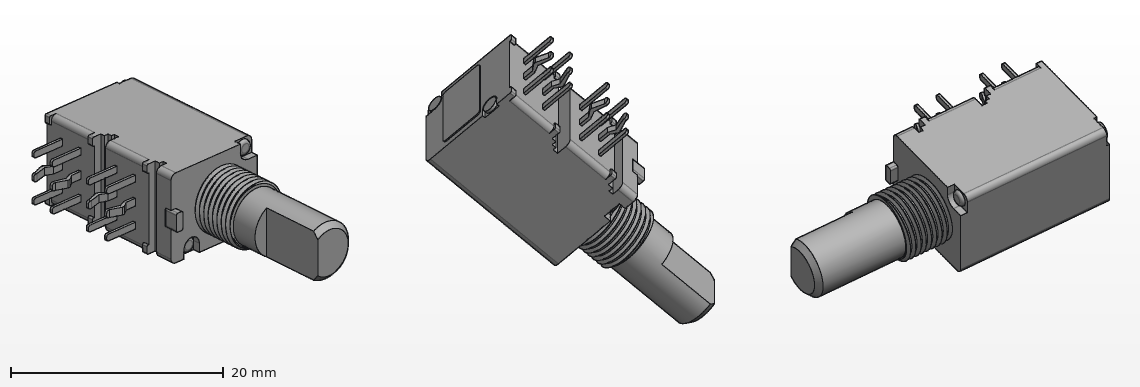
import cadquery as cq
import math

BODY_LENGTH = 16.98
BODY_BACK = 4.85
BODY_FRONT = -6.32
HEIGHT = 9.6
CORNER_RADIUS = 0.6

LABEL_WIDTH = 4.88
LABEL_HEIGHT = 8.05
LABEL_THICKNESS = 0.13
LABEL_CORNER_RADIUS = 0.4

SECTION_PITCH = 7.45
SECTION_END = 6.5
FOOT_LENGTH = 0.6
FOOT_WIDTH = 1.0
FOOT_RISE = 0.22
FOOT_EDGE_RADIUS = 0.15
STEP_LENGTHS = (0.48, 0.48, 0.58)
STEP_DEPTHS = (0.85, 1.32, 1.67)
GAP_LENGTHS = (0.58, 0.48)
GAP_DEPTHS = (0.85, 1.32)

RIVET_Y = 3.65
RIVET_Z = 3.82
RIVET_RADIUS = 0.85
REAR_RECESS_RADIUS = 0.93
REAR_RECESS_DEPTH = 0.32
END_RECESS_DEPTH = 0.77
END_RECESS_RADIUS = 1.0
END_RIVET_LENGTH = 0.4
END_RIVET_EDGE_RADIUS = 0.35

TAB_START = 16.27
TAB_LENGTH = 1.55
TAB_WIDTH = 2.02
TAB_THICKNESS = 0.85
TAB_PROUD = 0.1
TAB_EDGE_RADIUS = 0.2

PIN_X = 2.0
PIN_PITCH_X = 2.5
PIN_PITCH_Z = 2.5
PIN_TIP = -10.0
PIN_THICKNESS = 0.3
PIN_WIDTH = 0.75
LOCK_PIN_WIDTH = 0.85
PIN_TIP_RADIUS = 0.25
PIN_EMBED = 0.32
KINK_OFFSET = 0.48
KINK_THICKNESS = 0.42
KINK_START = -7.5
KINK_TOP_START = -8.2
KINK_TOP_END = -8.4
KINK_END = -9.63

BUSHING_LENGTH = 5.0
THREAD_ROOT_RADIUS = 3.15
THREAD_RADIUS = 3.5
THREAD_TURNS = 8.4
THREAD_PITCH = BUSHING_LENGTH / THREAD_TURNS
THREAD_BASE_WIDTH = 0.5
THREAD_EMBED = 0.05

SHAFT_RADIUS = 3.02
SHAFT_LENGTH = 9.98
SHAFT_CHAMFER = 0.58
FLAT_LENGTH = 7.0
FLAT_OFFSET = 1.5

BUSHING_END = BODY_LENGTH + BUSHING_LENGTH
SHAFT_END = BUSHING_END + SHAFT_LENGTH
SECTION_ENDS = (SECTION_END, SECTION_END + SECTION_PITCH)


def block(x_range, y_range, z_range):
    """Box spanning the given (low, high) ranges."""
    sizes = [high - low for low, high in (x_range, y_range, z_range)]
    corner = (x_range[0], y_range[0], z_range[0])
    return cq.Workplane("XY").box(*sizes, centered=False).translate(corner)


def rod(x_start, x_end, radius, y=0, z=0):
    """Cylinder parallel to the X axis."""
    return cq.Workplane("YZ", origin=(x_start, y, z)).circle(radius).extrude(x_end - x_start)


def foot(x_start, side):
    """Square corner with a raised lip on the pin face; side is +1 at the top, -1 at the bottom."""
    outer = side * HEIGHT / 2
    inner = outer - side * FOOT_WIDTH
    z_range = (min(inner, outer), max(inner, outer))
    y_range = (BODY_FRONT - FOOT_RISE, BODY_FRONT + CORNER_RADIUS)
    lip = block((x_start, x_start + FOOT_LENGTH), y_range, z_range)
    return lip.edges("|X and <Y").fillet(FOOT_EDGE_RADIUS)


def stepped_slot(x_start, lengths, depths):
    """Staircase slot through the full height of the pin face."""
    slot = cq.Workplane("XY")
    for length, depth in zip(lengths, depths):
        y_range = (BODY_FRONT - FOOT_RISE, BODY_FRONT + depth)
        slot = slot.union(block((x_start, x_start + length), y_range, (-HEIGHT / 2, HEIGHT / 2)))
        x_start += length
    return slot


def corner_recess(x_start, depth, radius):
    """Round-bottomed recess open to the back and the top of the body."""
    y_low = RIVET_Y - radius
    z_low = RIVET_Z - radius
    x_range = (x_start, x_start + depth)
    back_part = block(x_range, (RIVET_Y, BODY_BACK), (z_low, HEIGHT / 2))
    top_part = block(x_range, (y_low, BODY_BACK), (RIVET_Z, HEIGHT / 2))
    return rod(*x_range, radius, RIVET_Y, RIVET_Z).union(back_part).union(top_part)


def bottom_recess(x_start, depth, radius):
    """Round-topped recess open to the bottom of the body."""
    x_range = (x_start, x_start + depth)
    y_range = (-RIVET_Y - radius, -RIVET_Y + radius)
    slot = block(x_range, y_range, (-HEIGHT / 2, -RIVET_Z))
    return rod(*x_range, radius, -RIVET_Y, -RIVET_Z).union(slot)


def make_body():
    body = block((0, BODY_LENGTH), (BODY_FRONT, BODY_BACK), (-HEIGHT / 2, HEIGHT / 2))
    body = body.edges("|X").fillet(CORNER_RADIUS)

    for x_start in (0, *(end - FOOT_LENGTH for end in SECTION_ENDS)):
        for side in (-1, 1):
            body = body.union(foot(x_start, side))
    body = body.cut(stepped_slot(SECTION_ENDS[0], STEP_LENGTHS, STEP_DEPTHS))
    body = body.cut(stepped_slot(SECTION_ENDS[1], GAP_LENGTHS, GAP_DEPTHS))

    end_floor = BODY_LENGTH - END_RECESS_DEPTH
    for x_start, depth, radius in (
        (0, REAR_RECESS_DEPTH, REAR_RECESS_RADIUS),
        (end_floor, END_RECESS_DEPTH, END_RECESS_RADIUS),
    ):
        body = body.cut(corner_recess(x_start, depth, radius))
        body = body.cut(bottom_recess(x_start, depth, radius))
    for y, z in ((RIVET_Y, RIVET_Z), (-RIVET_Y, -RIVET_Z)):
        end_rivet = rod(end_floor, end_floor + END_RIVET_LENGTH, RIVET_RADIUS, y, z)
        body = body.union(rod(0, REAR_RECESS_DEPTH, RIVET_RADIUS, y, z))
        body = body.union(end_rivet.faces(">X").edges().fillet(END_RIVET_EDGE_RADIUS))

    label = cq.Workplane("YZ").rect(LABEL_WIDTH, LABEL_HEIGHT).extrude(-LABEL_THICKNESS)
    return body.union(label.edges("|X").fillet(LABEL_CORNER_RADIUS))


def make_tab():
    """Locating tab that projects past the bushing end of the body."""
    y_low = BODY_FRONT - TAB_PROUD
    tab = block(
        (TAB_START, TAB_START + TAB_LENGTH),
        (y_low, y_low + TAB_THICKNESS),
        (-TAB_WIDTH / 2, TAB_WIDTH / 2),
    )
    return tab.edges("|X").fillet(TAB_EDGE_RADIUS)


def straight_pin(x, z):
    y_range = (PIN_TIP, BODY_FRONT + PIN_EMBED)
    half_thickness = PIN_THICKNESS / 2
    pin = block(
        (x - half_thickness, x + half_thickness), y_range, (z - PIN_WIDTH / 2, z + PIN_WIDTH / 2)
    )
    return pin.edges("|X and <Y").fillet(PIN_TIP_RADIUS)


def lock_pin(x, direction):
    """Middle pin with a snap-in kink toward the given X direction."""
    base = BODY_FRONT + PIN_EMBED
    outer = PIN_THICKNESS / 2
    peak = outer + KINK_OFFSET
    inner_peak = (peak - KINK_THICKNESS, (KINK_TOP_START + KINK_TOP_END) / 2)
    outer_side = [
        (outer, base),
        (outer, KINK_START),
        (peak, KINK_TOP_START),
        (peak, KINK_TOP_END),
        (outer, KINK_END),
        (outer, PIN_TIP),
    ]
    inner_side = [(-outer, PIN_TIP), (-outer, KINK_END), inner_peak, (-outer, KINK_START), (-outer, base)]
    outline = [(x + direction * offset, y) for offset, y in outer_side + inner_side]
    pin = cq.Workplane("XY").polyline(outline).close().extrude(LOCK_PIN_WIDTH / 2, both=True)
    return pin.faces("<Y").edges("|X").fillet(PIN_TIP_RADIUS)


def make_bushing():
    """Bushing with a right-hand helical thread whose crest passes +Y at the body face."""
    half_base = THREAD_BASE_WIDTH / 2
    root = THREAD_ROOT_RADIUS - THREAD_EMBED
    ridge_length = (math.ceil(THREAD_TURNS) + 2) * THREAD_PITCH
    ridge_start = BODY_LENGTH - THREAD_PITCH
    helix = cq.Wire.makeHelix(THREAD_PITCH, ridge_length, root)
    profile = [(root, -half_base), (root, half_base), (THREAD_RADIUS, 0)]
    ridge = cq.Workplane("XZ").polyline(profile).close().sweep(cq.Workplane(helix), isFrenet=True)
    ridge = ridge.rotate((0, 0, 0), (1, 1, 1), 120).translate((ridge_start, 0, 0))
    core = rod(ridge_start - THREAD_PITCH, ridge_start + ridge_length + THREAD_PITCH, THREAD_ROOT_RADIUS)
    span = (-2 * THREAD_RADIUS, 2 * THREAD_RADIUS)
    return core.union(ridge).intersect(block((BODY_LENGTH, BUSHING_END), span, span))


def make_shaft():
    shaft = rod(BUSHING_END, SHAFT_END, SHAFT_RADIUS)
    shaft = shaft.faces(">X").chamfer(SHAFT_CHAMFER)
    flat = block(
        (SHAFT_END - FLAT_LENGTH, SHAFT_END),
        (-SHAFT_RADIUS, -FLAT_OFFSET),
        (-SHAFT_RADIUS, SHAFT_RADIUS),
    )
    return shaft.cut(flat)


result = make_body().union(make_tab())
for section in range(len(SECTION_ENDS)):
    for column, kink_direction in enumerate((-1, 1)):
        pin_x = PIN_X + section * SECTION_PITCH + column * PIN_PITCH_X
        result = result.union(lock_pin(pin_x, kink_direction))
        for row in (-1, 1):
            result = result.union(straight_pin(pin_x, row * PIN_PITCH_Z))
result = result.union(make_bushing()).union(make_shaft())